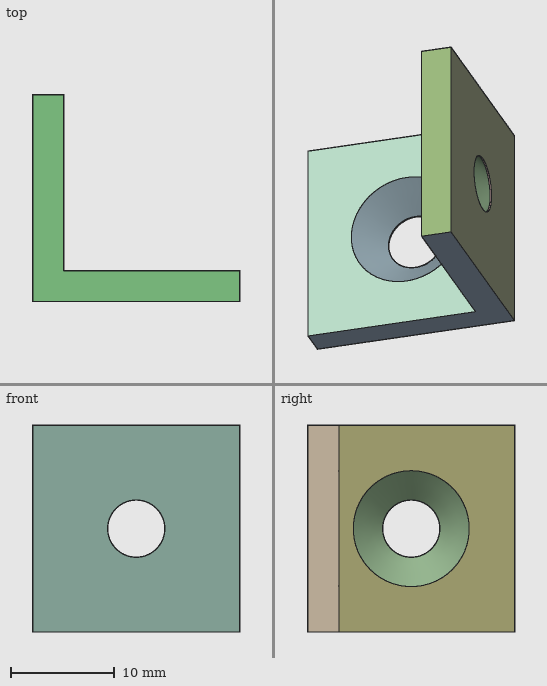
import cadquery as cq
import math

leg_length = 20.0
height = 20.0
thickness = 3.0
hole_diameter = 5.5
countersink_diameter = 11.2
countersink_angle = 90.0

hole_offset = leg_length / 2
hole_height = height / 2

hole_radius = hole_diameter / 2
countersink_radius = countersink_diameter / 2
half_angle = math.radians(countersink_angle / 2)
countersink_depth = (countersink_radius - hole_radius) / math.tan(half_angle)


def make_angle():
    """L-shaped angle with its outer corner edge on the Z axis."""
    profile = [
        (0, 0),
        (leg_length, 0),
        (leg_length, thickness),
        (thickness, thickness),
        (thickness, leg_length),
        (0, leg_length),
    ]
    return cq.Workplane("XY").polyline(profile).close().extrude(height)


def cut_countersunk_hole(body, outer_center, inward):
    """Cut a hole through one leg, countersunk on the leg's inner face."""
    start = cq.Vector(*outer_center)
    axis = cq.Vector(*inward)
    bore = cq.Solid.makeCylinder(hole_radius, thickness, start, axis)
    cone_start = start + axis * (thickness - countersink_depth)
    cone = cq.Solid.makeCone(
        hole_radius, countersink_radius, countersink_depth, cone_start, axis
    )
    return body.cut(cq.Workplane(bore)).cut(cq.Workplane(cone))


result = make_angle()
result = cut_countersunk_hole(result, (hole_offset, 0, hole_height), (0, 1, 0))
result = cut_countersunk_hole(result, (0, hole_offset, hole_height), (1, 0, 0))